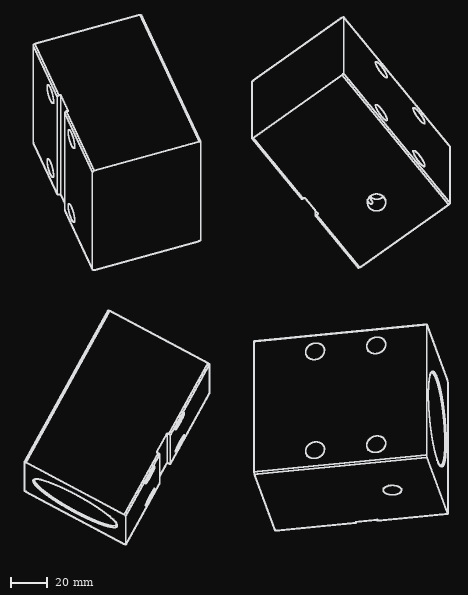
import cadquery as cq

LENGTH = 96.0
DEPTH = 63.0
HEIGHT = 85.0
EDGE_CHAMFER = 1.0

GROOVE_FROM_OPEN_END = 45.0
GROOVE_WIDTH = 12.0
GROOVE_DEPTH = 2.0

HOLE_DIAMETER = 10.5
HOLE_SPACING_X = 34.0
HOLE_SPACING_Z = 63.0

BORE_DIAMETER = 51.0
BORE_DEPTH = 80.0
BORE_CHAMFER = 0.7
RECESS_DIAMETER = 40.0
RECESS_DEPTH = 10.0

RADIAL_HOLE_DIAMETER = 10.0
RADIAL_HOLE_FROM_OPEN_END = 25.0

OPEN_END_X = -LENGTH / 2
GROOVE_X = OPEN_END_X + GROOVE_FROM_OPEN_END


def make_block():
    """Rectangular block with its four long edges chamfered."""
    return cq.Workplane("XY").box(LENGTH, DEPTH, HEIGHT).edges("|X").chamfer(EDGE_CHAMFER)


def make_groove():
    """Cutter for the full-height groove in the mounting face."""
    groove = cq.Workplane("XY").box(GROOVE_WIDTH, 2 * GROOVE_DEPTH, HEIGHT)
    return groove.translate((GROOVE_X, -DEPTH / 2, 0))


def make_mounting_holes():
    """Cutters for the four holes through the block along Y."""
    plane = cq.Workplane("XZ", origin=(GROOVE_X, DEPTH / 2, 0))
    return plane.rarray(HOLE_SPACING_X, HOLE_SPACING_Z, 2, 2).circle(HOLE_DIAMETER / 2).extrude(DEPTH)


def make_bore():
    """Cutter for the bore: chamfered mouth, main diameter and end recess, revolved about X."""
    bore_radius = BORE_DIAMETER / 2
    recess_radius = RECESS_DIAMETER / 2
    shoulder_x = OPEN_END_X + BORE_DEPTH
    floor_x = shoulder_x + RECESS_DEPTH
    profile = [
        (OPEN_END_X, 0),
        (OPEN_END_X, bore_radius + BORE_CHAMFER),
        (OPEN_END_X + BORE_CHAMFER, bore_radius),
        (shoulder_x, bore_radius),
        (shoulder_x, recess_radius),
        (floor_x, recess_radius),
        (floor_x, 0),
    ]
    return cq.Workplane("XY").polyline(profile).close().revolve(360, (0, 0, 0), (1, 0, 0))


def make_radial_hole():
    """Cutter for the hole from the bore axis down through the -Z face."""
    plane = cq.Workplane("XY", origin=(OPEN_END_X + RADIAL_HOLE_FROM_OPEN_END, 0, -HEIGHT / 2))
    return plane.circle(RADIAL_HOLE_DIAMETER / 2).extrude(HEIGHT / 2)


result = (
    make_block()
    .cut(make_groove())
    .cut(make_mounting_holes())
    .cut(make_bore())
    .cut(make_radial_hole())
)